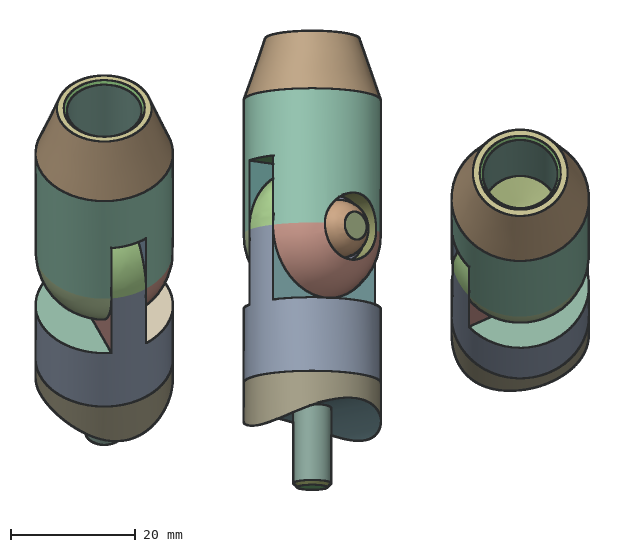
import cadquery as cq
import math


body_radius = 11.0
overall_height = 72.95
joint_width = 6.0

socket_height = 31.9
taper_height = 10.0
mouth_radius = 7.6
slot_top = 11.3
bore_radius = 6.0
bore_depth = 14.6
bore_chamfer = 0.5
cone_angle = 160.0

screw_radius = 2.5
head_radius = 4.7
head_top = 10.95
recess_radius = 5.3
recess_floor = 6.85
screw_end = -6.6

shoulder_z = -12.1
joint_line_z = -24.1
saddle_crown_z = -28.1
saddle_radius = 16.85
stud_end_z = socket_height - overall_height
stud_radius = 3.1
stud_chamfer = 0.65
stud_top_z = joint_line_z + 2 * stud_radius


def cylinder_z(radius, bottom, top):
    return cq.Workplane("XY").workplane(offset=bottom).circle(radius).extrude(top - bottom)


def cylinder_y(radius, start, end):
    return cq.Workplane("XZ").workplane(offset=-start).circle(radius).extrude(start - end)


def joint_slab(bottom, top):
    """Slab centred on the XZ plane, wider than the body along X."""
    height = top - bottom
    return cq.Workplane("XY").box(3 * body_radius, joint_width, height).translate((0, 0, bottom + height / 2))


def make_socket():
    shoulder = socket_height - taper_height
    bore_bottom = socket_height - bore_depth
    cone_tip = bore_bottom - bore_radius / math.tan(math.radians(cone_angle / 2))
    arc_offset = body_radius * math.sqrt(0.5)
    socket = (
        cq.Workplane("XZ")
        .moveTo(0, -body_radius)
        .threePointArc((arc_offset, -arc_offset), (body_radius, 0))
        .lineTo(body_radius, shoulder)
        .lineTo(mouth_radius, socket_height)
        .lineTo(bore_radius + bore_chamfer, socket_height)
        .lineTo(bore_radius, socket_height - bore_chamfer)
        .lineTo(bore_radius, bore_bottom)
        .lineTo(0, cone_tip)
        .close()
        .revolve(360, (0, 0, 0), (0, 1, 0))
    )
    socket = socket.cut(joint_slab(-2 * body_radius, slot_top))
    socket = socket.cut(cylinder_y(recess_radius, recess_floor, 2 * body_radius))
    return socket.cut(cylinder_y(screw_radius, screw_end, recess_floor))


def make_tongue():
    capsule = cylinder_z(body_radius, joint_line_z, 0).union(cq.Workplane("XY").sphere(body_radius))
    base = cylinder_z(body_radius, joint_line_z, shoulder_z)
    tongue = capsule.intersect(joint_slab(joint_line_z, body_radius)).union(base)
    tongue = tongue.cut(cylinder_y(screw_radius, -joint_width, joint_width))
    return tongue.cut(cylinder_z(stud_radius, joint_line_z, stud_top_z))


def make_pivot_screw():
    ball = cq.Workplane("XY").sphere(head_radius).translate((0, recess_floor, 0))
    head = ball.intersect(cylinder_y(2 * head_radius, recess_floor, head_top))
    return cylinder_y(screw_radius, screw_end, recess_floor).union(head)


def make_saddle():
    rail_axis_z = saddle_crown_z - saddle_radius
    rail = cylinder_y(saddle_radius, -2 * body_radius, 2 * body_radius).translate((0, 0, rail_axis_z))
    saddle = cylinder_z(body_radius, rail_axis_z, joint_line_z).cut(rail)
    return saddle.cut(cylinder_z(stud_radius, rail_axis_z, joint_line_z))


def make_stud():
    return cylinder_z(stud_radius, stud_end_z, stud_top_z).faces("<Z").chamfer(stud_chamfer)


socket = make_socket()
tongue = make_tongue()
pivot_screw = make_pivot_screw()
saddle = make_saddle()
stud = make_stud()

result = cq.Compound.makeCompound(
    [socket.val(), tongue.val(), pivot_screw.val(), saddle.val(), stud.val()]
)